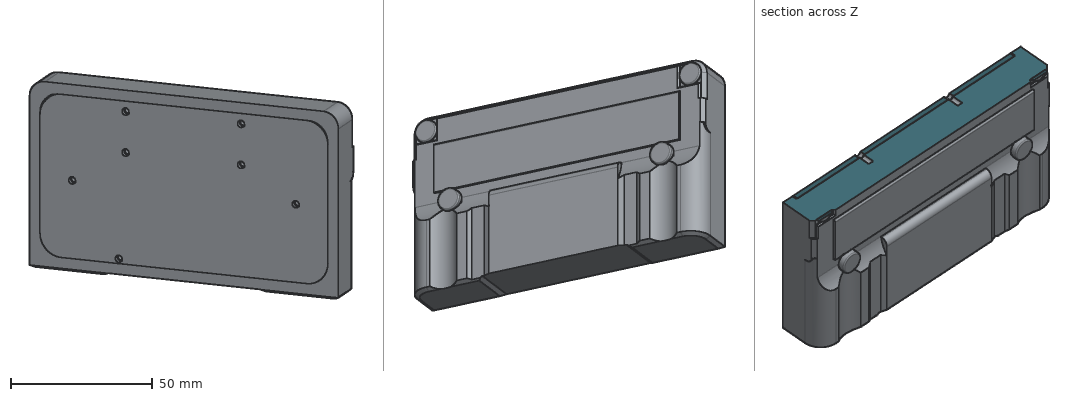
import cadquery as cq
import math

WIDTH = 117.5
DEPTH = 19.0
HEIGHT = 69.0
HALF_WIDTH = WIDTH / 2

FOOT_HEIGHT = 1.0
CORNER_RADIUS = 5.8
LEDGE_Y = 15.0
LEDGE_CHAMFER = 1.5
FACE_Y = 16.0
SHOULDER_TOP = 52.9
SHOULDER_CHAMFER = 1.4
PANEL_CHAMFER = 0.6

PAD_HALF_WIDTH = 49.2
PAD_BOTTOM = 38.2
PAD_TOP = 57.0
PAD_Y = 16.8
PAD_EDGE_RADIUS = 0.6

GRIP_FILLET_START = 11.3
GRIP_RADIUS = DEPTH - GRIP_FILLET_START
GRIP_FILLET_TOP = 40.9
GRIP_RUNOUT_RADIUS = 2.7
RAMP_BOTTOM = 27.0
RAMP_TOP = 34.4
RAMP_MIDDLE = (17.0, 30.5)
BRIDGE_HALF_WIDTH = 25.8
BRIDGE_TOP = 34.1
BRIDGE_EDGE_RADIUS = 2.6

THUMB_GROOVE_X = 44.2
THUMB_GROOVE_RADIUS = 8.2
THUMB_GROOVE_HALF_WIDTH = 5.4
SIDE_GROOVE_FLOOR_Y = 18.2
SIDE_GROOVE_TOP = (25.8, 34.7)
SIDE_GROOVE_FLOOR = (28.1, 33.1)

FOOT_WIDTH = 29.8
FOOT_BEVEL = 1.8

COVER_INSET = 4.0
COVER_THICKNESS = 2.0
COVER_CORNER_RADIUS = 8.1
RECESS_TOP_RADIUS = 7.4

CLEARANCE_DIAMETER = 2.6
PILOT_DIAMETER = 2.0
PILOT_DEPTH = 4.7
THUMB_X = 42.5
THUMB_Z = 33.7
UPPER_HOLE_X = 22.0
UPPER_HOLE_SHIFT = -0.2
UPPER_HOLE_HEIGHTS = (46.1, 61.1)
LOWER_HOLE = (-24.8, 6.8)
SCREW_POINTS = [
    *[(side * UPPER_HOLE_X + UPPER_HOLE_SHIFT, z) for z in UPPER_HOLE_HEIGHTS for side in (-1, 1)],
    *[(side * THUMB_X, THUMB_Z) for side in (-1, 1)],
    LOWER_HOLE,
]

BUTTON_DIAMETER = 8.5
BUTTON_EDGE_RADIUS = 0.5
THUMB_BUTTON_Y = 18.6
CORNER_BUTTON_Y = 16.1
CORNER_BUTTON_X = HALF_WIDTH - CORNER_RADIUS
CORNER_BUTTON_Z = HEIGHT - CORNER_RADIUS


def block(x0, x1, y0, y1, z0, z1):
    """Box between the given limits."""
    return cq.Workplane("XY").box(x1 - x0, y1 - y0, z1 - z0, centered=False).translate((x0, y0, z0))


def disc(x, z, diameter, y0, y1):
    """Round bar along Y."""
    face = cq.Workplane("XZ", origin=(0, y0, 0)).center(x, z)
    return face.circle(diameter / 2).extrude(y0 - y1)


def upper_shell():
    """Round-cornered slab with a bevelled back edge."""
    slab = block(-HALF_WIDTH, HALF_WIDTH, 0, LEDGE_Y, FOOT_HEIGHT, HEIGHT)
    slab = slab.edges("|Y and >Z").fillet(CORNER_RADIUS)
    return slab.faces(">Y").edges().chamfer(LEDGE_CHAMFER)


def shoulder():
    """Deeper lower part of the housing, bevelled along both sides."""
    lower = block(-HALF_WIDTH, HALF_WIDTH, 0, FACE_Y, FOOT_HEIGHT, SHOULDER_TOP)
    return lower.faces(">Y").edges("|Z").chamfer(SHOULDER_CHAMFER)


def back_panel():
    """Raised panel on the ledge, notched at the corners for the corner buttons."""
    reach = HALF_WIDTH - LEDGE_CHAMFER
    panel = block(-reach, reach, 0, FACE_Y, SHOULDER_TOP - LEDGE_CHAMFER, HEIGHT - LEDGE_CHAMFER)
    notch_x = CORNER_BUTTON_X - BUTTON_DIAMETER / 2
    notch_z = CORNER_BUTTON_Z - BUTTON_DIAMETER / 2
    for x0, x1 in ((-HALF_WIDTH, -notch_x), (notch_x, HALF_WIDTH)):
        panel = panel.cut(block(x0, x1, 0, DEPTH, notch_z, HEIGHT))
    return panel.faces(">Y").edges().chamfer(PANEL_CHAMFER)


def pad():
    """Shallow raised rectangle on the back face."""
    plate = block(-PAD_HALF_WIDTH, PAD_HALF_WIDTH, LEDGE_Y, PAD_Y, PAD_BOTTOM, PAD_TOP)
    return plate.faces(">Y").edges(">Z").fillet(PAD_EDGE_RADIUS)


def grips():
    """Thick section across the bottom, falling to the back face along a hollow ramp."""
    profile = (
        cq.Workplane("YZ", origin=(-HALF_WIDTH, 0, 0))
        .moveTo(0, FOOT_HEIGHT)
        .lineTo(DEPTH, FOOT_HEIGHT)
        .lineTo(DEPTH, RAMP_BOTTOM)
        .threePointArc(RAMP_MIDDLE, (FACE_Y, RAMP_TOP))
        .lineTo(0, RAMP_TOP)
        .close()
    )
    return profile.extrude(WIDTH)


def bridge():
    """Central block between the grips with a rounded upper edge."""
    center = block(-BRIDGE_HALF_WIDTH, BRIDGE_HALF_WIDTH, 0, DEPTH, FOOT_HEIGHT, BRIDGE_TOP)
    return center.faces(">Y").edges(">Z").fillet(BRIDGE_EDGE_RADIUS)


def rounding_midpoint(side):
    """Middle (X, Y) point of the quarter arc along the outer edge of one grip."""
    diagonal = GRIP_RADIUS * math.sqrt(0.5)
    return (side * (HALF_WIDTH - GRIP_RADIUS + diagonal), GRIP_FILLET_START + diagonal)


def foot(side):
    """Bevelled pad under one grip, following its rounded outer edge."""
    outer = side * HALF_WIDTH
    inner = side * (HALF_WIDTH - FOOT_WIDTH)
    taper = math.degrees(math.atan(FOOT_BEVEL / FOOT_HEIGHT))
    outline = (
        cq.Workplane("XY", origin=(0, 0, FOOT_HEIGHT))
        .moveTo(inner, 0)
        .lineTo(outer, 0)
        .lineTo(outer, GRIP_FILLET_START)
        .threePointArc(rounding_midpoint(side), (side * (HALF_WIDTH - GRIP_RADIUS), DEPTH))
        .lineTo(inner, DEPTH)
        .close()
    )
    return outline.extrude(-FOOT_HEIGHT, taper=taper)


def side_rounding(side):
    """Material removed to round the outer edge of one grip."""
    outer = side * HALF_WIDTH
    inner = side * (HALF_WIDTH - GRIP_RADIUS)
    profile = (
        cq.Workplane("XY")
        .moveTo(outer, GRIP_FILLET_START)
        .threePointArc(rounding_midpoint(side), (inner, DEPTH))
        .lineTo(outer, DEPTH)
        .close()
    )
    side_wall_y = FACE_Y - SHOULDER_CHAMFER
    runout_top = GRIP_FILLET_TOP + GRIP_RUNOUT_RADIUS
    kept = block(-HALF_WIDTH, HALF_WIDTH, 0, side_wall_y, GRIP_FILLET_TOP, SHOULDER_TOP)
    kept = kept.edges(">Y and <Z").fillet(GRIP_RUNOUT_RADIUS)
    return profile.extrude(runout_top).cut(kept)


def thumb_groove(side):
    """Hollow that runs down one grip below its thumb button."""
    rise = math.sqrt(THUMB_GROOVE_RADIUS**2 - THUMB_GROOVE_HALF_WIDTH**2)
    return (
        cq.Workplane("XY")
        .center(side * THUMB_GROOVE_X, DEPTH + rise)
        .circle(THUMB_GROOVE_RADIUS)
        .extrude(RAMP_TOP)
    )


def side_groove(side):
    """Flat-bottomed groove between one grip and the bridge."""
    outline = [
        (side * SIDE_GROOVE_TOP[0], DEPTH),
        (side * SIDE_GROOVE_FLOOR[0], SIDE_GROOVE_FLOOR_Y),
        (side * SIDE_GROOVE_FLOOR[1], SIDE_GROOVE_FLOOR_Y),
        (side * SIDE_GROOVE_TOP[1], DEPTH),
    ]
    return cq.Workplane("XY").polyline(outline).close().extrude(RAMP_TOP)


def cover_blank(top_radius):
    """Cover outline extruded to the cover thickness."""
    reach = HALF_WIDTH - COVER_INSET
    plate = block(-reach, reach, 0, COVER_THICKNESS, FOOT_HEIGHT + COVER_INSET, HEIGHT - COVER_INSET)
    plate = plate.edges("|Y and <Z").fillet(COVER_CORNER_RADIUS)
    return plate.edges("|Y and >Z").fillet(top_radius)


def make_housing():
    body = upper_shell().union(shoulder()).union(back_panel()).union(pad()).union(grips()).union(bridge())
    for side in (-1, 1):
        body = body.union(foot(side))
    for side in (-1, 1):
        body = body.cut(side_rounding(side)).cut(thumb_groove(side)).cut(side_groove(side))
        body = body.cut(disc(side * THUMB_X, THUMB_Z, BUTTON_DIAMETER, FACE_Y, DEPTH))
    body = body.cut(cover_blank(RECESS_TOP_RADIUS))
    for x, z in SCREW_POINTS:
        body = body.cut(disc(x, z, PILOT_DIAMETER, COVER_THICKNESS, COVER_THICKNESS + PILOT_DEPTH))
    return body


def make_cover():
    plate = cover_blank(COVER_CORNER_RADIUS)
    for x, z in SCREW_POINTS:
        plate = plate.cut(disc(x, z, CLEARANCE_DIAMETER, 0, COVER_THICKNESS))
    return plate


def make_button(x, z, seat_y, top_y):
    """Round button with a softened outer rim."""
    return disc(x, z, BUTTON_DIAMETER, seat_y, top_y).faces(">Y").edges().fillet(BUTTON_EDGE_RADIUS)


housing = make_housing()
cover = make_cover()
buttons = []
for side in (-1, 1):
    buttons.append(make_button(side * THUMB_X, THUMB_Z, FACE_Y, THUMB_BUTTON_Y))
    buttons.append(make_button(side * CORNER_BUTTON_X, CORNER_BUTTON_Z, LEDGE_Y, CORNER_BUTTON_Y))

result = cq.Compound.makeCompound([housing.val(), cover.val(), *[button.val() for button in buttons]])